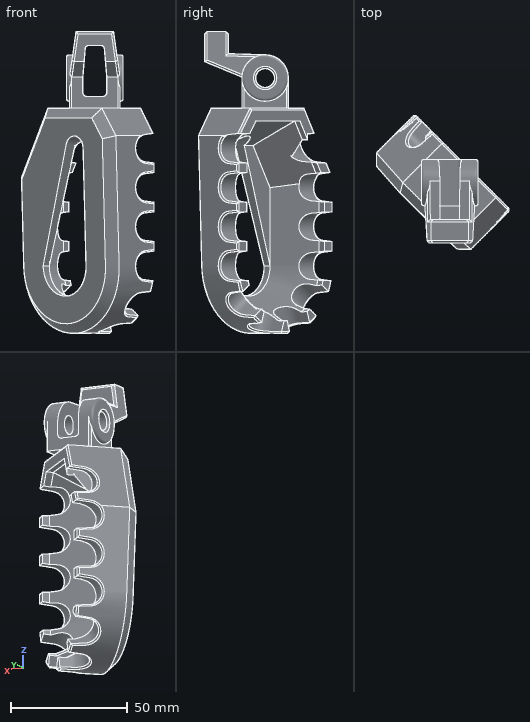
import cadquery as cq
import math

ACROSS = cq.Vector(1, -1, 0).normalized()
OUTWARD = cq.Vector(-1, -1, 0).normalized()
UP = cq.Vector(0, 0, 1)

end_diameter = 58.1
end_radius = end_diameter / 2
left_corner_z = 38.0
right_corner_z = 56.0
top_left = -12.0
top_right = 20.9
cage_top = 67.9
cage_shift = -2.3
back_depth = 10.1
cage_depth = 28.6
front_tilt = 2.0
front_chamfer = 4.2

window_radius = 13.0
window_tip_radius = 5.2
window_tip_z = 50.7
wall = 5.5
pocket_straight = 3.2
pocket_depth = 22.5

notch_depth = 11.2
notch_radius = 5.8
notch_mouth = 6.4
notch_pitch = 16.9
notch_reach = 15.6
top_row = 3
end_notch_count = 4
tooth_chamfer = 0.8

hinge_z = cage_top + 13.0
lug_half_width = 10.9
boss_half_width = 12.2
boss_radius = 10.0
boss_round = 1.2
lug_chamfer = 0.9
bore_diameter = 8.0
bore_chamfer = 0.98
slot_floor = -7.9
slot_width = 10.3
slot_roof = 13.9
slot_roof_width = 7.9
slot_floor_round = 1.8
slot_roof_round = 1.3

arm_back = 0.6
arm_shoulder_z = 10.5
tab_back = -15.9
tab_front = -26.0
tab_top = 20.0
tab_front_foot = 7.0
arm_foot = 0.4
arm_taper = 8.0
arm_chamfer = 1.0

clearance = 6.5

cage_origin = ACROSS * cage_shift - OUTWARD * back_depth
back_plane = cq.Plane(cage_origin, xDir=ACROSS, normal=OUTWARD)
side_plane = cq.Plane(cage_origin, xDir=OUTWARD, normal=-ACROSS)


def cage_outline():
    return (
        cq.Workplane(back_plane)
        .moveTo(-end_radius, 0)
        .lineTo(-end_radius, left_corner_z)
        .lineTo(top_left, cage_top)
        .lineTo(top_right, cage_top)
        .lineTo(end_radius, right_corner_z)
        .lineTo(end_radius, 0)
        .threePointArc((0, -end_radius), (-end_radius, 0))
        .close()
    )


def cage_blank():
    lean = math.tan(math.radians(front_tilt)) * (cage_top + end_radius)
    side_profile = (
        cq.Workplane(side_plane)
        .polyline([
            (0, -end_radius),
            (cage_depth - lean, -end_radius),
            (cage_depth, cage_top),
            (0, cage_top),
        ])
        .close()
        .extrude(2 * end_radius, both=True)
    )
    blank = cage_outline().extrude(cage_depth).intersect(side_profile)
    front = cq.selectors.DirectionMinMaxSelector(OUTWARD, True)
    return blank.faces(front).edges().chamfer(front_chamfer)


def window():
    """Teardrop through the cage: a half circle below, narrowing to a smaller circle above."""
    tip_across = window_radius - window_tip_radius
    run = tip_across + window_radius
    tip_distance = math.hypot(run, window_tip_z)
    left_side = math.atan2(window_tip_z, run) + math.asin(window_tip_radius / tip_distance)
    left = left_side + math.pi / 2

    def on_tip(angle):
        return (
            tip_across + window_tip_radius * math.cos(angle),
            window_tip_z + window_tip_radius * math.sin(angle),
        )

    return (
        cq.Workplane(back_plane)
        .moveTo(window_radius, 0)
        .lineTo(*on_tip(0))
        .threePointArc(on_tip(left / 2), on_tip(left))
        .lineTo(-window_radius, 0)
        .threePointArc((0, -window_radius), (window_radius, 0))
        .close()
        .extrude(cage_depth)
    )


def pocket():
    """Hollow from the back: straight rim, then tapering in to the window radius."""
    narrowing = end_radius - wall - window_radius
    taper_depth = pocket_depth - pocket_straight
    taper = math.degrees(math.atan2(narrowing, taper_depth))
    rim = cage_outline().offset2D(-wall).extrude(pocket_straight)
    tapered = (
        cage_outline()
        .offset2D(-wall)
        .extrude(taper_depth, taper=taper)
        .translate(OUTWARD * pocket_straight)
    )
    return rim.union(tapered)


def notch(across, z, angle):
    """Rounded groove through the wall at (across, z), running in against the given direction."""
    direction = ACROSS * math.cos(angle) + UP * math.sin(angle)
    centre_depth = notch_depth - notch_radius
    mouth_distance = math.hypot(notch_mouth, centre_depth)
    flare = math.acos(notch_radius / mouth_distance) - math.atan2(centre_depth, notch_mouth)
    tangent_depth = centre_depth + notch_radius * math.sin(flare)
    tangent_half_width = notch_radius * math.cos(flare)
    plane = cq.Plane(
        cage_origin + ACROSS * across + UP * z - direction * notch_reach,
        xDir=OUTWARD,
        normal=direction,
    )
    return (
        cq.Workplane(plane)
        .moveTo(0, -notch_mouth)
        .lineTo(tangent_depth, -tangent_half_width)
        .threePointArc((notch_depth, 0), (tangent_depth, tangent_half_width))
        .lineTo(0, notch_mouth)
        .close()
        .extrude(notch_reach + clearance)
    )


def side_notch_pair(row):
    z = row * notch_pitch
    return [notch(-end_radius, z, math.pi), notch(end_radius, z, 0)]


def end_notches():
    cuts = []
    for step in range(1, end_notch_count + 1):
        angle = -math.pi * step / (end_notch_count + 1)
        cuts.append(notch(end_radius * math.cos(angle), end_radius * math.sin(angle), angle))
    return cuts


def cut_all(body, cuts):
    for cut in cuts:
        body = body.cut(cut)
    return body


def chamfer_teeth(body, lowest_z, shallowest, is_wanted=lambda point: True):
    """Bevel the wanted outer wall edges above lowest_z, from shallowest to the notch bottoms."""
    core = cage_outline().offset2D(-notch_mouth / 2).extrude(cage_depth).val()

    def on_rim(edge):
        middle = edge.positionAt(0.5)
        depth = (middle - cage_origin).dot(OUTWARD)
        along_depth = abs(edge.tangentAt(0.5).dot(OUTWARD)) > 0.99999
        in_range = shallowest < depth < notch_depth + tooth_chamfer and middle.z > lowest_z
        return in_range and not along_depth and not core.isInside(middle) and is_wanted(middle)

    return body.edges().filter(on_rim).chamfer(tooth_chamfer)


def off_right_slope(point):
    on_right = (point - cage_origin).dot(ACROSS) > 0
    return not (on_right and point.z > right_corner_z)


def cage():
    lower_cuts = end_notches()
    for row in range(top_row):
        lower_cuts += side_notch_pair(row)
    body = chamfer_teeth(cut_all(cage_blank(), lower_cuts), -2 * end_radius, -tooth_chamfer)

    body = cut_all(body, side_notch_pair(top_row))
    top_notch_foot = top_row * notch_pitch - notch_mouth
    body = chamfer_teeth(body, top_notch_foot, 2 * tooth_chamfer, off_right_slope)
    return body.cut(pocket()).cut(window())


def hinge_lug():
    post = (
        cq.Workplane("XY", origin=(0, 0, cage_top))
        .rect(2 * lug_half_width, 2 * boss_radius)
        .extrude(hinge_z - cage_top)
        .edges("|Z")
        .chamfer(lug_chamfer)
    )
    boss = (
        cq.Workplane("YZ", origin=(0, 0, hinge_z))
        .circle(boss_radius)
        .extrude(boss_half_width, both=True)
        .faces("<X or >X")
        .edges()
        .fillet(boss_round)
    )
    return post.union(boss)


def stop_arm():
    side_profile = (
        cq.Workplane("YZ", origin=(0, 0, hinge_z))
        .polyline([
            (arm_back, 0),
            (arm_back, boss_radius),
            (tab_back, arm_shoulder_z),
            (tab_back, tab_top),
            (tab_front, tab_top),
            (tab_front, tab_front_foot),
            (-boss_radius, arm_foot),
        ])
        .close()
        .extrude(lug_half_width, both=True)
    )
    top_half_width = lug_half_width - tab_top * math.tan(math.radians(arm_taper))
    flanks = (
        cq.Workplane("XZ", origin=(0, 0, hinge_z))
        .polyline([
            (-lug_half_width, 0),
            (lug_half_width, 0),
            (top_half_width, tab_top),
            (-top_half_width, tab_top),
        ])
        .close()
        .extrude(-tab_front + clearance, both=True)
    )
    arm = side_profile.intersect(flanks)
    return arm.edges("(not(|X or >Z)) or (|X and >Z)").chamfer(arm_chamfer)


def lug_slot():
    half_width = slot_width / 2
    roof_half_width = slot_roof_width / 2
    return (
        cq.Workplane("XZ", origin=(0, 0, hinge_z))
        .polyline([
            (-half_width, slot_floor),
            (half_width, slot_floor),
            (half_width, 0),
            (roof_half_width, slot_roof),
            (-roof_half_width, slot_roof),
            (-half_width, 0),
        ])
        .close()
        .extrude(-tab_front + clearance, both=True)
        .edges("|Y and <Z")
        .fillet(slot_floor_round)
        .edges("|Y and >Z")
        .fillet(slot_roof_round)
    )


def bore():
    radius = bore_diameter / 2
    mouth = radius + bore_chamfer
    return (
        cq.Workplane("XY", origin=(0, 0, hinge_z))
        .polyline([
            (-boss_half_width, 0),
            (-boss_half_width, mouth),
            (-boss_half_width + bore_chamfer, radius),
            (boss_half_width - bore_chamfer, radius),
            (boss_half_width, mouth),
            (boss_half_width, 0),
        ])
        .close()
        .revolve(360, (0, 0, 0), (1, 0, 0))
    )


lug = hinge_lug().union(stop_arm()).cut(lug_slot()).cut(bore())
result = cage().union(lug)